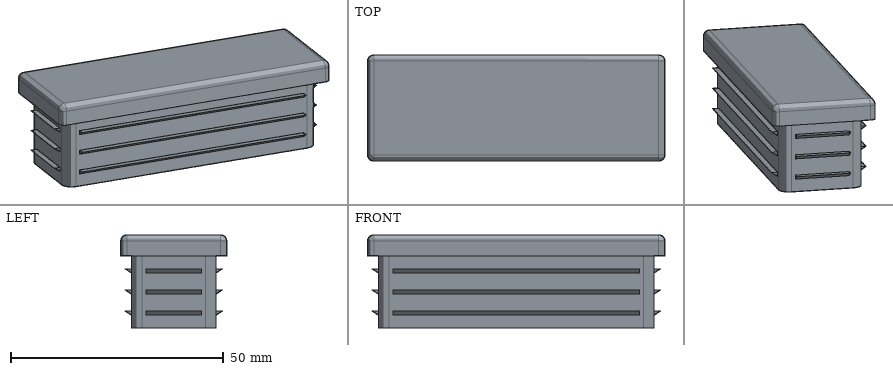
import cadquery as cq

cap_length = 70.0
cap_width = 25.0
cap_thickness = 5.0
cap_radius = 1.5

total_height = 22.0
cap_overhang = 2.5
plug_length = cap_length - 2 * cap_overhang
plug_width = cap_width - 2 * cap_overhang
plug_height = total_height - cap_thickness
plug_radius = 2.5

fin_reach = 1.5
fin_thickness = 1.0
fin_count = 3
fin_pitch = 5.0
first_fin_drop = 3.0
long_fin_length = 58.0
short_fin_length = 13.0
fin_embed = 0.35


def make_plug():
    plug = cq.Workplane("XY").box(plug_length, plug_width, plug_height, centered=(True, True, False))
    return plug.edges("|Z").fillet(plug_radius)


def make_cap():
    cap = cq.Workplane("XY").workplane(offset=plug_height)
    cap = cap.box(cap_length, cap_width, cap_thickness, centered=(True, True, False))
    return cap.edges("|Z or >Z").fillet(cap_radius)


def make_fin(wall, length, top):
    """Fin on the +X side, standing on a wall at the given distance from the axis."""
    profile = [
        (wall - fin_embed, top),
        (wall + fin_reach, top),
        (wall, top - fin_thickness),
        (wall - fin_embed, top - fin_thickness),
    ]
    return cq.Workplane("XZ").polyline(profile).close().extrude(length / 2, both=True)


result = make_plug().union(make_cap())

for level in range(fin_count):
    fin_top = plug_height - first_fin_drop - level * fin_pitch
    end_fin = make_fin(plug_length / 2, short_fin_length, fin_top)
    side_fin = make_fin(plug_width / 2, long_fin_length, fin_top)
    for turn in (0, 180):
        result = result.union(end_fin.rotate((0, 0, 0), (0, 0, 1), turn))
        result = result.union(side_fin.rotate((0, 0, 0), (0, 0, 1), turn + 90))